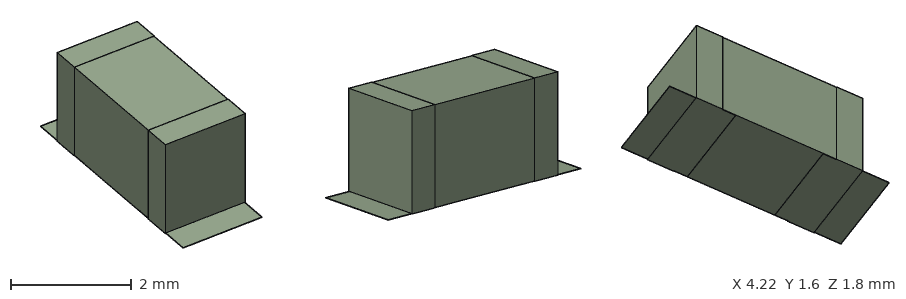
import cadquery as cq

overall_length = 4.22
overall_width = 1.6
overall_height = 1.8

capped_length = 3.2
cap_length = 0.505
body_inset = 0.005
pad_width = 1.58
pad_thickness = 0.01
pad_underlap = 0.76


def centered_block(length, width, bottom, top):
    """Block centred in X and Y, spanning bottom to top in Z."""
    block = cq.Workplane("XY").box(length, width, top - bottom, centered=(True, True, False))
    return block.translate((0, 0, bottom))


def end_cap(side):
    """Cap at one end of the body; side is -1 or +1 along X."""
    cap = centered_block(cap_length, overall_width, 0, overall_height)
    return cap.translate((side * (capped_length - cap_length) / 2, 0, 0))


def solder_pad(side):
    """Thin foot running under a cap and body and out past its end face."""
    pad_length = (overall_length - capped_length) / 2 + pad_underlap
    pad = centered_block(pad_length, pad_width, 0, pad_thickness)
    return pad.translate((side * (overall_length - pad_length) / 2, 0, 0))


body_length = capped_length - 2 * cap_length
body_width = overall_width - 2 * body_inset
result = centered_block(body_length, body_width, body_inset, overall_height - body_inset)

for side in (-1, 1):
    result = result.union(end_cap(side)).union(solder_pad(side))